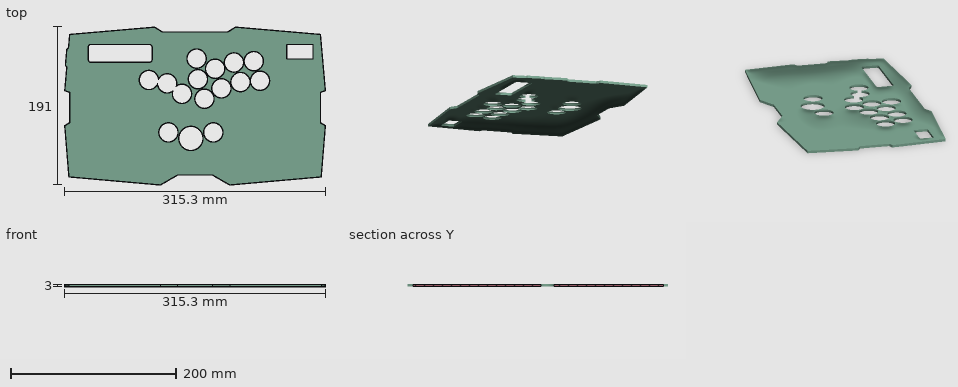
import cadquery as cq

LENGTH = 315.3
WIDTH = 191.0
THICKNESS = 3.0
HALF_LENGTH = LENGTH / 2
HALF_WIDTH = WIDTH / 2

REAR_CORNER_X = 151.5
REAR_CORNER_Y = 86.7
FRONT_CORNER_X = 152.5
FRONT_CORNER_Y = 85.8

REAR_RECESS_MOUTH_X = 49.0
REAR_RECESS_FLOOR_X = 39.5
REAR_RECESS_DEPTH = 6.0
FRONT_RECESS_MOUTH_X = 42.0
FRONT_RECESS_FLOOR_X = 21.0
FRONT_RECESS_DEPTH = 12.0

END_RECESS_FLOOR_X = 151.5
END_RECESS_REAR_MOUTH_Y = 18.5
END_RECESS_REAR_FLOOR_Y = 16.5
END_RECESS_FRONT_FLOOR_Y = -20.2
END_RECESS_FRONT_MOUTH_Y = -23.5

TAB_REAR_Y = 70.5
TAB_FRONT_Y = 47.0
TAB_HEIGHT = 2.0
TAB_RAMP = 2.2

WINDOW_TOP_Y = 74.5
LEFT_WINDOW_CENTER_X = -90.5
LEFT_WINDOW_LENGTH = 77.0
LEFT_WINDOW_WIDTH = 21.5
LEFT_WINDOW_RADIUS = 3.0
RIGHT_WINDOW_CENTER_X = 126.7
RIGHT_WINDOW_LENGTH = 31.5
RIGHT_WINDOW_WIDTH = 17.3

BUTTON_DIAMETER = 23.0
LARGE_BUTTON_DIAMETER = 29.0
LARGE_BUTTON_CENTER = (-5.0, -39.0)
LEFT_HAND_BUTTONS = [(-55.8, 31.5), (-33.7, 27.5), (-15.8, 14.8)]
RIGHT_HAND_REAR_ROW = [(3.5, 32.5), (24.3, 45.0), (47.0, 52.5), (71.0, 54.2)]
RIGHT_HAND_FRONT_ROW = [(11.5, 8.8), (31.8, 21.5), (55.0, 29.0), (78.5, 30.5)]
EXTRA_BUTTON = (2.0, 57.5)
THUMB_BUTTONS = [(-32.0, -31.8), (22.0, -31.8)]


def rear_left_edge_x(y):
    """X of the sloping left edge between the rear corner and the end recess."""
    fraction = (REAR_CORNER_Y - y) / (REAR_CORNER_Y - END_RECESS_REAR_MOUTH_Y)
    return -(REAR_CORNER_X + fraction * (HALF_LENGTH - REAR_CORNER_X))


def make_plate():
    """Plate symmetric about X = 0, with recessed edges."""
    right_side = [
        (REAR_RECESS_FLOOR_X, HALF_WIDTH - REAR_RECESS_DEPTH),
        (REAR_RECESS_MOUTH_X, HALF_WIDTH),
        (REAR_CORNER_X, REAR_CORNER_Y),
        (HALF_LENGTH, END_RECESS_REAR_MOUTH_Y),
        (END_RECESS_FLOOR_X, END_RECESS_REAR_FLOOR_Y),
        (END_RECESS_FLOOR_X, END_RECESS_FRONT_FLOOR_Y),
        (HALF_LENGTH, END_RECESS_FRONT_MOUTH_Y),
        (FRONT_CORNER_X, -FRONT_CORNER_Y),
        (FRONT_RECESS_MOUTH_X, -HALF_WIDTH),
        (FRONT_RECESS_FLOOR_X, -HALF_WIDTH + FRONT_RECESS_DEPTH),
    ]
    left_side = [(-x, y) for x, y in reversed(right_side)]
    return cq.Workplane("XY").polyline(right_side + left_side).close().extrude(THICKNESS)


def make_left_tab():
    """Tab that follows the sloping left edge, with ramped ends."""
    outer_rear_y = TAB_REAR_Y - TAB_RAMP
    outer_front_y = TAB_FRONT_Y + TAB_RAMP
    inner_x = -END_RECESS_FLOOR_X
    outline = [
        (inner_x, TAB_REAR_Y),
        (rear_left_edge_x(TAB_REAR_Y), TAB_REAR_Y),
        (rear_left_edge_x(outer_rear_y) - TAB_HEIGHT, outer_rear_y),
        (rear_left_edge_x(outer_front_y) - TAB_HEIGHT, outer_front_y),
        (rear_left_edge_x(TAB_FRONT_Y), TAB_FRONT_Y),
        (inner_x, TAB_FRONT_Y),
    ]
    return cq.Workplane("XY").polyline(outline).close().extrude(THICKNESS)


def make_window(center_x, length, width):
    """Rectangular cutter whose rear side lies on the shared window line."""
    center_y = WINDOW_TOP_Y - width / 2
    return cq.Workplane("XY").center(center_x, center_y).rect(length, width).extrude(THICKNESS)


def make_holes(centers, diameter):
    """Round cutters at the given centres."""
    cutter = cq.Workplane("XY")
    for x, y in centers:
        cutter = cutter.union(cq.Workplane("XY").center(x, y).circle(diameter / 2).extrude(THICKNESS))
    return cutter


left_window = make_window(LEFT_WINDOW_CENTER_X, LEFT_WINDOW_LENGTH, LEFT_WINDOW_WIDTH)
left_window = left_window.edges("|Z").fillet(LEFT_WINDOW_RADIUS)
right_window = make_window(RIGHT_WINDOW_CENTER_X, RIGHT_WINDOW_LENGTH, RIGHT_WINDOW_WIDTH)

button_centers = LEFT_HAND_BUTTONS + RIGHT_HAND_REAR_ROW + RIGHT_HAND_FRONT_ROW
button_centers = button_centers + THUMB_BUTTONS + [EXTRA_BUTTON]

result = make_plate().union(make_left_tab())
result = result.cut(left_window).cut(right_window)
result = result.cut(make_holes(button_centers, BUTTON_DIAMETER))
result = result.cut(make_holes([LARGE_BUTTON_CENTER], LARGE_BUTTON_DIAMETER))